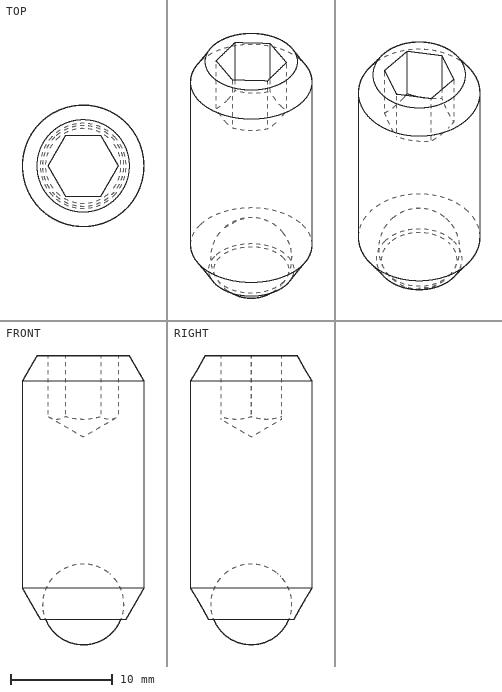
import cadquery as cq
import math


HOUSING_DIAMETER = 12.0
OVERALL_LENGTH = 28.5

BALL_DIAMETER = 8.0
BALL_PROTRUSION = 2.5

TAPER_ANGLE = 30.0
TOP_TAPER_HEIGHT = 2.5
BOTTOM_TAPER_HEIGHT = 3.1

HEX_ACROSS_FLATS = 6.0
HEX_DEPTH = 6.0
DRILL_POINT_ANGLE = 120.0

HOUSING_RADIUS = HOUSING_DIAMETER / 2
BALL_RADIUS = BALL_DIAMETER / 2
TAPER_SLOPE = math.tan(math.radians(TAPER_ANGLE))
TOP_RADIUS = HOUSING_RADIUS - TOP_TAPER_HEIGHT * TAPER_SLOPE
BOTTOM_RADIUS = HOUSING_RADIUS - BOTTOM_TAPER_HEIGHT * TAPER_SLOPE
HEX_ACROSS_CORNERS = HEX_ACROSS_FLATS / math.cos(math.radians(30))
HEX_CORNER_RADIUS = HEX_ACROSS_CORNERS / 2
DRILL_POINT_HEIGHT = HEX_CORNER_RADIUS / math.tan(math.radians(DRILL_POINT_ANGLE / 2))
HOUSING_BOTTOM = BALL_PROTRUSION
HOUSING_TOP = OVERALL_LENGTH


def make_ball():
    """Full ball, centred on the axis and resting on Z = 0."""
    return cq.Workplane("XY").sphere(BALL_RADIUS).translate((0, 0, BALL_RADIUS))


def make_socket():
    """Hex socket volume whose floor is a drill-point cone reaching the hex corners."""
    floor_start = HOUSING_TOP - HEX_DEPTH
    floor_tip = floor_start - DRILL_POINT_HEIGHT
    hexagon = (
        cq.Workplane("XY")
        .workplane(offset=floor_tip)
        .polygon(6, HEX_ACROSS_CORNERS)
        .extrude(HOUSING_TOP - floor_tip)
    )
    drill = (
        cq.Workplane("XZ")
        .moveTo(0, floor_tip)
        .lineTo(HEX_CORNER_RADIUS, floor_start)
        .lineTo(HEX_CORNER_RADIUS, HOUSING_TOP)
        .lineTo(0, HOUSING_TOP)
        .close()
        .revolve(360, (0, 0), (0, 1))
    )
    return hexagon.intersect(drill)


def make_housing():
    """Turned body with a taper at each end, the hex socket and the ball's seat."""
    body = (
        cq.Workplane("XZ")
        .moveTo(0, HOUSING_BOTTOM)
        .lineTo(BOTTOM_RADIUS, HOUSING_BOTTOM)
        .lineTo(HOUSING_RADIUS, HOUSING_BOTTOM + BOTTOM_TAPER_HEIGHT)
        .lineTo(HOUSING_RADIUS, HOUSING_TOP - TOP_TAPER_HEIGHT)
        .lineTo(TOP_RADIUS, HOUSING_TOP)
        .lineTo(0, HOUSING_TOP)
        .close()
        .revolve(360, (0, 0), (0, 1))
    )
    return body.cut(make_socket()).cut(make_ball()).solids()


housing = make_housing()
ball = make_ball()

result = cq.Compound.makeCompound([housing.val(), ball.val()])